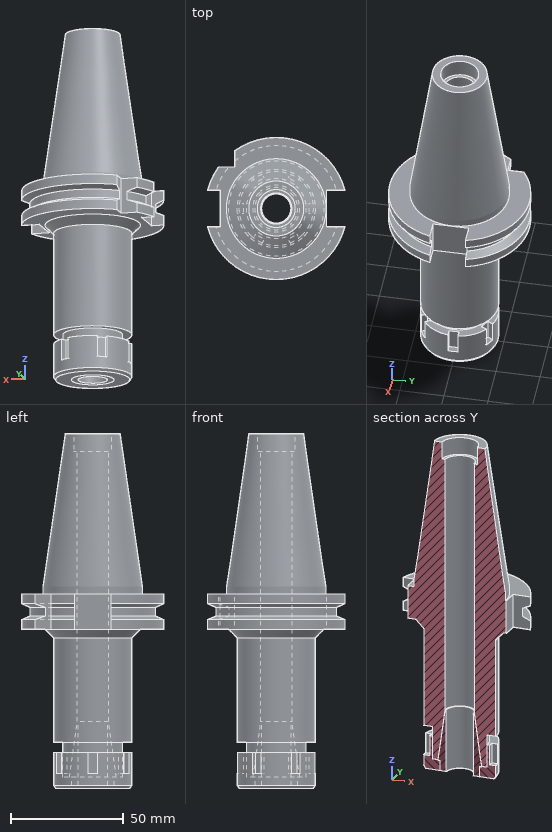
import cadquery as cq
import math


gauge_diameter = 44.5
taper_length = 68.5
taper_on_diameter = 7 / 24
collar_height = 3.2

flange_diameter = 63.5
flange_thickness = 15.8
groove_root_diameter = 56.2
groove_root_width = 3.8
groove_mouth_width = 7.1
groove_center_z = -11.1

drive_slot_width = 16.2
left_slot_distance = 25.0
right_slot_distance = 22.5
corner_notch_distance = 18.5

overall_length = 158.4
body_diameter = 35.0
cone_height = 3.8
neck_diameter = 26.8
neck_gap = 4.5

nut_diameter = body_diameter
nut_height = 16.2
nut_chamfer_height = 1.5
nut_chamfer_width = 1.0
spanner_slot_count = 6
spanner_slot_width = 4.5
spanner_slot_length = 9.5
spanner_slot_floor_radius = 14.5
nut_lip_thickness = 5.0

thread_bore_diameter = 17.0
thread_bore_depth = 8.0
through_bore_diameter = 14.0
collet_bore_diameter = 13.0
collet_mouth_diameter = 20.9
collet_nose_diameter = 19.0
collet_half_angle = 8.0

gauge_radius = gauge_diameter / 2
tip_radius = (gauge_diameter - taper_length * taper_on_diameter) / 2
flange_radius = flange_diameter / 2
groove_root_radius = groove_root_diameter / 2
body_radius = body_diameter / 2
cone_radius = body_radius + cone_height
neck_radius = neck_diameter / 2
thread_bore_radius = thread_bore_diameter / 2
through_bore_radius = through_bore_diameter / 2
collet_mouth_radius = collet_mouth_diameter / 2
collet_nose_radius = collet_nose_diameter / 2
collet_bore_radius = collet_bore_diameter / 2
nut_radius = nut_diameter / 2

flange_top_z = -collar_height
flange_bottom_z = flange_top_z - flange_thickness
body_top_z = flange_bottom_z - cone_height
bottom_z = taper_length - overall_length
nut_top_z = bottom_z + nut_height
body_bottom_z = nut_top_z + neck_gap
neck_bottom_z = bottom_z + nut_lip_thickness
seat_radius_drop = collet_mouth_radius - through_bore_radius
collet_cone_length = seat_radius_drop / math.tan(math.radians(collet_half_angle))
collet_top_z = neck_bottom_z + collet_cone_length


def revolved(profile):
    """Turn a closed (radius, z) profile about the Z axis."""
    return cq.Workplane("YZ").polyline(profile).close().revolve(360, (0, 0), (0, 1))


def block(x_range, y_range, z_range):
    """Axis-aligned box between pairs of limits."""
    ranges = (x_range, y_range, z_range)
    sizes = [high - low for low, high in ranges]
    corner = tuple(low for low, high in ranges)
    return cq.Workplane("XY").box(*sizes, centered=False).translate(corner)


def make_turned_holder():
    """Shank, grooved flange, body and neck, with the stepped bore and the collet seat."""
    half_mouth = groove_mouth_width / 2
    half_root = groove_root_width / 2
    return revolved([
        (thread_bore_radius, taper_length),
        (tip_radius, taper_length),
        (gauge_radius, 0),
        (gauge_radius, flange_top_z),
        (flange_radius, flange_top_z),
        (flange_radius, groove_center_z + half_mouth),
        (groove_root_radius, groove_center_z + half_root),
        (groove_root_radius, groove_center_z - half_root),
        (flange_radius, groove_center_z - half_mouth),
        (flange_radius, flange_bottom_z),
        (cone_radius, flange_bottom_z),
        (body_radius, body_top_z),
        (body_radius, body_bottom_z),
        (neck_radius, body_bottom_z),
        (neck_radius, neck_bottom_z),
        (collet_mouth_radius, neck_bottom_z),
        (through_bore_radius, collet_top_z),
        (through_bore_radius, taper_length - thread_bore_depth),
        (thread_bore_radius, taper_length - thread_bore_depth),
    ])


def make_flange_cutters():
    """Two drive slots of unequal depth and one square corner notch, through the flange."""
    flange_z = (flange_bottom_z, flange_top_z)
    slot_y = (-drive_slot_width / 2, drive_slot_width / 2)
    return [
        block((-flange_radius, -left_slot_distance), slot_y, flange_z),
        block((right_slot_distance, flange_radius), slot_y, flange_z),
        block((-flange_radius, -corner_notch_distance), (corner_notch_distance, flange_radius), flange_z),
    ]


def make_holder():
    holder = make_turned_holder()
    for cutter in make_flange_cutters():
        holder = holder.cut(cutter)
    return holder.solids()


def make_nut():
    """Ring around the neck, with a lip under it and spanner slots open at the top."""
    nut = revolved([
        (neck_radius, nut_top_z),
        (nut_radius, nut_top_z),
        (nut_radius, bottom_z + nut_chamfer_height),
        (nut_radius - nut_chamfer_width, bottom_z),
        (collet_nose_radius, bottom_z),
        (collet_nose_radius, neck_bottom_z),
        (neck_radius, neck_bottom_z),
    ])
    spanner_slot = block(
        (-nut_radius, -spanner_slot_floor_radius),
        (-spanner_slot_width / 2, spanner_slot_width / 2),
        (nut_top_z - spanner_slot_length, nut_top_z),
    )
    for index in range(spanner_slot_count):
        angle = index * 360 / spanner_slot_count
        nut = nut.cut(spanner_slot.rotate((0, 0, 0), (0, 0, 1), angle))
    return nut.solids()


def make_collet():
    """Tapered sleeve in the holder's seat, with a straight nose inside the nut's lip."""
    return revolved([
        (collet_bore_radius, bottom_z),
        (collet_nose_radius, bottom_z),
        (collet_nose_radius, neck_bottom_z),
        (collet_mouth_radius, neck_bottom_z),
        (through_bore_radius, collet_top_z),
        (collet_bore_radius, collet_top_z),
    ])


holder = make_holder()
nut = make_nut()
collet = make_collet()

result = cq.Compound.makeCompound([holder.val(), nut.val(), collet.val()])